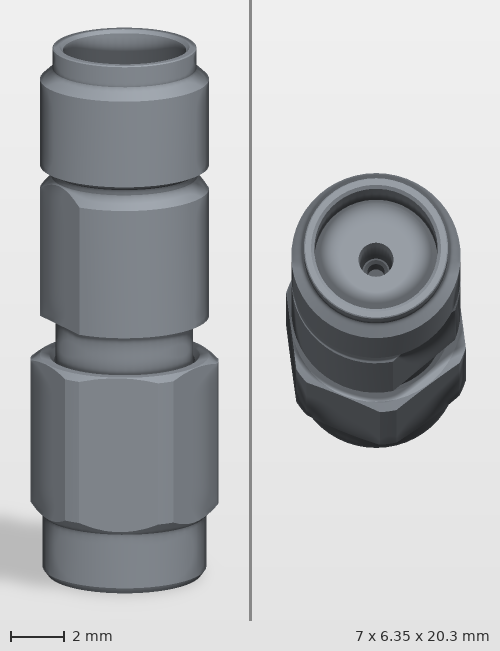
import cadquery as cq
import math

nut_base_z = 2.31
nut_top_z = 8.4
flat_body_bottom_z = 9.92
flat_body_top_z = 14.83
groove_bottom_z = 15.32
groove_top_z = 15.52
sleeve_bottom_z = 15.75
sleeve_top_z = 19.05
rim_bottom_z = 19.48
total_height = 20.3

across_flats = 6.35
across_corners = 7.0
nut_corner_radius = across_corners / 2
nut_top_radius = 3.15
nut_top_chamfer_height = 0.18
collar_radius = 3.05
collar_chamfer_width = 0.18
collar_chamfer_height = 0.25
nut_mouth_radius = 2.8
nut_hole_radius = 2.62
nut_hole_depth = 0.6

body_radius = 3.15
neck_radius = 2.55
groove_radius = 2.72
rim_radius = 2.68
rim_chamfer = 0.05
flat_distance = 2.75
body_turn = 3.0

bore_radius = 2.3
mouth_radius = 2.41
floor_radius = 2.11
bore_depth = 1.93
floor_edge_drop = 0.02

contact_recess_radius = 0.65
contact_radius = 0.5
contact_recess_depth = 2.03
socket_mouth_radius = 0.45
socket_radius = 0.32
socket_depth = 1.01


def revolve_profile(points):
    """Turn a closed outline of (radius, height) points about the Z axis."""
    return cq.Workplane("XZ").polyline(points).close().revolve(360, (0, 0, 0), (0, 1, 0))


def make_nut():
    """Hexagonal nut with turned corners, a round collar and a chamfered clearance hole for the neck."""
    corner_step = nut_corner_radius - collar_radius
    mouth_chamfer = nut_mouth_radius - nut_hole_radius
    turned = revolve_profile([
        (0, 0),
        (collar_radius - collar_chamfer_width, 0),
        (collar_radius, collar_chamfer_height),
        (collar_radius, nut_base_z),
        (nut_corner_radius, nut_base_z + corner_step),
        (nut_corner_radius, nut_top_z - nut_top_chamfer_height),
        (nut_top_radius, nut_top_z),
        (nut_mouth_radius, nut_top_z),
        (nut_hole_radius, nut_top_z - mouth_chamfer),
        (nut_hole_radius, nut_top_z - nut_hole_depth),
        (0, nut_top_z - nut_hole_depth),
    ])
    hexagon_diameter = across_flats / math.cos(math.radians(30))
    hexagon = cq.Workplane("XY").polygon(6, hexagon_diameter).extrude(nut_top_z)
    return turned.intersect(hexagon)


def make_body():
    """Turned body with a neck, a grooved sleeve, a chamfered rim and two opposite wrench flats."""
    body = revolve_profile([
        (0, nut_base_z),
        (neck_radius, nut_base_z),
        (neck_radius, flat_body_bottom_z),
        (body_radius, flat_body_bottom_z),
        (body_radius, flat_body_top_z),
        (groove_radius, groove_bottom_z),
        (groove_radius, groove_top_z),
        (body_radius, sleeve_bottom_z),
        (body_radius, sleeve_top_z),
        (rim_radius, rim_bottom_z),
        (rim_radius, total_height - rim_chamfer),
        (rim_radius - rim_chamfer, total_height),
        (0, total_height),
    ])
    flat_height = groove_top_z - flat_body_bottom_z
    flat_depth = body_radius - flat_distance
    for side in (-1, 1):
        flat_cut = (
            cq.Workplane("XY")
            .box(2 * body_radius, flat_depth, flat_height, centered=(True, True, False))
            .translate((0, side * (flat_distance + flat_depth / 2), flat_body_bottom_z))
        )
        body = body.cut(flat_cut)
    return body.rotate((0, 0, 0), (0, 0, 1), body_turn)


def make_bore():
    """Open bore with a chamfered mouth, a bevelled floor and the contact socket."""
    floor_z = total_height - bore_depth
    contact_z = floor_z - contact_recess_depth
    mouth_chamfer = mouth_radius - bore_radius
    socket_chamfer = socket_mouth_radius - socket_radius
    return revolve_profile([
        (0, total_height),
        (mouth_radius, total_height),
        (bore_radius, total_height - mouth_chamfer),
        (bore_radius, floor_z - floor_edge_drop),
        (floor_radius, floor_z),
        (contact_recess_radius, floor_z),
        (contact_radius, contact_z),
        (socket_mouth_radius, contact_z),
        (socket_radius, contact_z - socket_chamfer),
        (socket_radius, contact_z - socket_depth),
        (0, contact_z - socket_depth),
    ])


result = make_nut().union(make_body()).cut(make_bore())